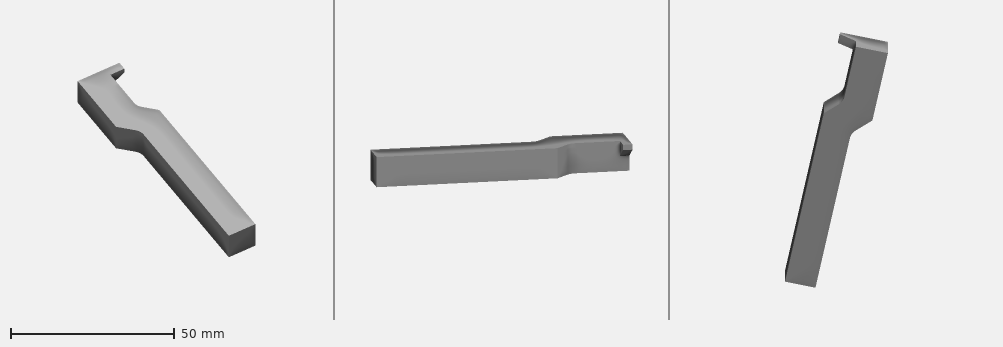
import cadquery as cq

length = 80.0
shank_size = 9.5
total_depth = 15.0
head_drop = 5.0
hook_width = 3.0
hook_setback = 0.06
hook_tip_height = 1.7
hook_root_height = shank_size / 2
back_bend_x = 23.4
front_bend_x = 22.6
bend_radius = 4.0

front_drop = total_depth - shank_size
neck_y = total_depth - head_drop
hook_tip_y = total_depth - hook_setback
neck_corner_x = back_bend_x - head_drop
shank_corner_x = front_bend_x + front_drop


def make_body():
    """Square shank stepped forward at 45 degrees into the head."""
    outline = [
        (0, 0),
        (front_bend_x, 0),
        (shank_corner_x, front_drop),
        (length, front_drop),
        (length, total_depth),
        (back_bend_x, total_depth),
        (neck_corner_x, neck_y),
        (0, neck_y),
    ]
    body = cq.Workplane("XY").polyline(outline).close().extrude(shank_size)
    for corner in [(neck_corner_x, neck_y), (shank_corner_x, front_drop)]:
        middle = (corner[0], corner[1], shank_size / 2)
        body = body.edges("|Z").edges(cq.selectors.NearestToPointSelector(middle)).fillet(bend_radius)
    return body


def make_hook():
    """Hook at the head end, with a sloping underside and a flat tip."""
    profile = [
        (0, 0),
        (neck_y, 0),
        (neck_y, shank_size - hook_root_height),
        (hook_tip_y, shank_size - hook_tip_height),
        (hook_tip_y, shank_size),
        (0, shank_size),
    ]
    return cq.Workplane("YZ").polyline(profile).close().extrude(hook_width)


result = make_body().union(make_hook())